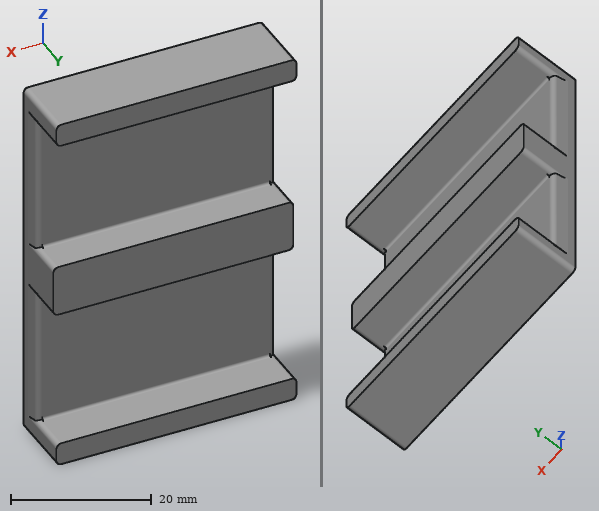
import cadquery as cq
import math

width = 38.1
depth = 10.55
height = 58.4

corner_radius = 0.8
skin_thickness = 1.4
web_thickness = 4.05
web_draft = math.radians(5)
flange_height = 3.6
rib_height = 8.2
rib_depth = 9.6
root_radius = 0.4


def rounded_bar(bar_height, bar_depth, centre_z=0):
    """Full-width bar running back from the front face, its long corners rounded."""
    return (
        cq.Workplane("XY")
        .box(width, bar_depth, bar_height)
        .edges("|Y")
        .fillet(corner_radius)
        .translate((0, bar_depth / 2, centre_z))
    )


def tapered_web():
    """Plate behind the skin, with drafted sides and rounded rear side edges."""
    front_half = width / 2
    rear_half = front_half - (web_thickness - skin_thickness) * math.tan(web_draft)
    web_height = height - flange_height
    return (
        cq.Workplane("XY")
        .workplane(offset=-web_height / 2)
        .moveTo(-front_half, skin_thickness)
        .lineTo(front_half, skin_thickness)
        .lineTo(rear_half, web_thickness)
        .lineTo(-rear_half, web_thickness)
        .close()
        .extrude(web_height)
        .edges("|Z and >Y")
        .fillet(corner_radius)
    )


def root_fillet(corner_z, open_side):
    """Concave fillet along X at a corner on the web's rear; open_side is the Z sign of its free side."""
    draft_inset = (web_thickness - skin_thickness) * math.tan(web_draft)
    rounding_inset = corner_radius * math.tan(math.pi / 4 - web_draft / 2)
    flat_width = width - 2 * (draft_inset + rounding_inset)
    arc_middle = root_radius * (1 - math.sqrt(0.5))
    return (
        cq.Workplane("YZ")
        .workplane(offset=-flat_width / 2)
        .moveTo(web_thickness, corner_z)
        .lineTo(web_thickness + root_radius, corner_z)
        .threePointArc(
            (web_thickness + arc_middle, corner_z + open_side * arc_middle),
            (web_thickness, corner_z + open_side * root_radius),
        )
        .close()
        .extrude(flat_width)
    )


skin = rounded_bar(height, skin_thickness)
rib = rounded_bar(rib_height, rib_depth)
body = skin.union(tapered_web()).union(rib)

flange_centre = (height - flange_height) / 2
for side in (-1, 1):
    body = body.union(rounded_bar(flange_height, depth, side * flange_centre))

rib_side = rib_height / 2
flange_side = height / 2 - flange_height
for side in (-1, 1):
    body = body.union(root_fillet(side * rib_side, side))
    body = body.union(root_fillet(side * flange_side, -side))

result = body